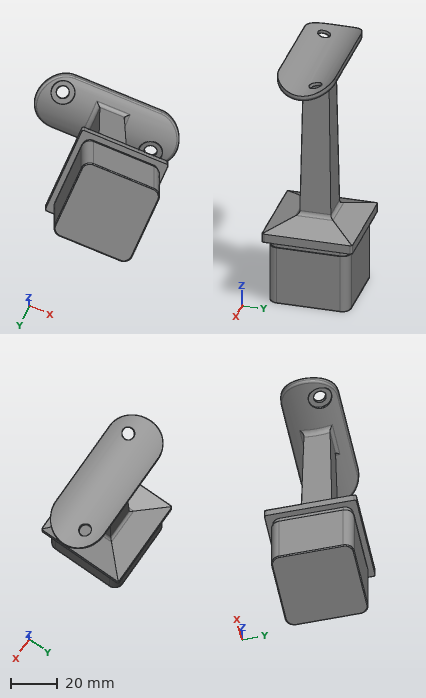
import cadquery as cq
import math

total_height = 114.6

plug_width = 36.0
plug_height = 27.0
plug_corner_radius = 4.0
plug_chamfer = 0.5

neck_inset = 0.6
neck_height = 3.0

flange_width = 40.0
flange_height = 4.0
flange_corner_radius = 0.9
flange_bottom = plug_height + neck_height
flange_top = flange_bottom + flange_height

pyramid_slope = 20.7

post_bottom_width = 13.7
post_top_width = 11.2
post_fillet = 2.1
pyramid_height = (flange_width - post_bottom_width) / 2 * math.tan(math.radians(pyramid_slope))
pyramid_top = flange_top + pyramid_height

joint_margin = 0.1

saddle_length = 65.0
saddle_width = 25.0
saddle_inner_radius = 21.2
saddle_thickness = 2.5
saddle_edge_fillet = 1.0
saddle_outer_radius = saddle_inner_radius + saddle_thickness
axis_above_rim = math.sqrt(saddle_inner_radius**2 - (saddle_width / 2) ** 2)
pipe_axis_height = total_height + axis_above_rim
saddle_bottom = pipe_axis_height - saddle_outer_radius

post_top = saddle_bottom + saddle_thickness

hole_diameter = 5.5
counterbore_diameter = 10.2
counterbore_depth = 1.0
hole_x = 22.5
hole_y = 4.5


def rounded_block(width, height, corner_radius, bottom):
    """Square block centred on Z with rounded vertical edges."""
    block = cq.Workplane("XY").workplane(offset=bottom).rect(width, width).extrude(height)
    return block.edges("|Z").fillet(corner_radius)


def cap_and_post_prism(plane):
    """Flange, pyramid and post profile, drawn on a vertical plane and extruded across the flange."""
    half_flange = flange_width / 2
    half_bottom = post_bottom_width / 2
    half_top = post_top_width / 2
    prism = (
        cq.Workplane(plane)
        .moveTo(-half_flange, flange_bottom)
        .lineTo(half_flange, flange_bottom)
        .lineTo(half_flange, flange_top)
        .lineTo(half_bottom, pyramid_top)
        .lineTo(half_top, post_top)
        .lineTo(-half_top, post_top)
        .lineTo(-half_bottom, pyramid_top)
        .lineTo(-half_flange, flange_top)
        .close()
        .extrude(half_flange, both=True)
    )
    joint_height = cq.selectors.BoxSelector(
        (-flange_width, -flange_width, pyramid_top - joint_margin),
        (flange_width, flange_width, pyramid_top + joint_margin),
    )
    return prism.edges(joint_height).fillet(post_fillet)


def pipe_cylinder(radius):
    """Solid cylinder along the axis of the supported pipe."""
    return (
        cq.Workplane("YZ")
        .center(0, pipe_axis_height)
        .circle(radius)
        .extrude(saddle_length, both=True)
    )


def make_saddle():
    outline = (
        cq.Workplane("XY")
        .workplane(offset=saddle_bottom)
        .slot2D(saddle_length, saddle_width)
        .extrude(total_height - saddle_bottom)
    )
    blank = outline.intersect(pipe_cylinder(saddle_outer_radius))
    underside = cq.selectors.NearestToPointSelector((0, 0, saddle_bottom))
    blank = blank.faces(underside).edges().fillet(saddle_edge_fillet)
    return blank.cut(pipe_cylinder(saddle_inner_radius))


def make_screw_hole(x, y):
    """Cutter running from the pipe axis out through the saddle at (x, y), wider at the underside."""
    axis_drop = math.sqrt(saddle_inner_radius**2 - y**2)
    hole_plane = cq.Plane(
        origin=(x, 0, pipe_axis_height),
        xDir=(1, 0, 0),
        normal=(0, y, -axis_drop),
    )
    seat_radius = saddle_outer_radius - counterbore_depth
    bore = cq.Workplane(hole_plane).circle(hole_diameter / 2).extrude(saddle_outer_radius)
    counterbore = (
        cq.Workplane(hole_plane)
        .workplane(offset=seat_radius)
        .circle(counterbore_diameter / 2)
        .extrude(saddle_thickness)
    )
    return bore.union(counterbore)


plug = rounded_block(plug_width, plug_height, plug_corner_radius, 0)
plug = plug.faces("<Z").chamfer(plug_chamfer)
neck = rounded_block(
    plug_width - 2 * neck_inset,
    neck_height,
    plug_corner_radius - neck_inset,
    plug_height,
)

cap_envelope = rounded_block(
    flange_width,
    post_top - flange_bottom,
    flange_corner_radius,
    flange_bottom,
)
cap_and_post = cap_and_post_prism("XZ").intersect(cap_and_post_prism("YZ"))
cap_and_post = cap_and_post.intersect(cap_envelope).cut(pipe_cylinder(saddle_inner_radius))

result = plug.union(neck).union(cap_and_post).union(make_saddle())

half_post = post_bottom_width / 2
saddle_joint = cq.selectors.BoxSelector(
    (-half_post, -half_post, saddle_bottom - joint_margin),
    (half_post, half_post, post_top),
)
result = result.edges(saddle_joint).fillet(post_fillet)

for side in (-1, 1):
    result = result.cut(make_screw_hole(side * hole_x, side * hole_y))